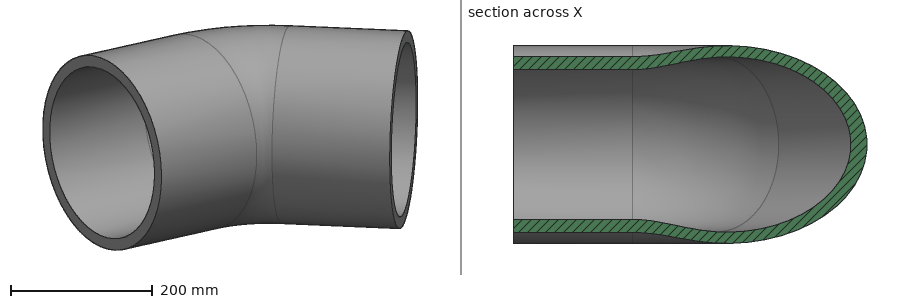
import cadquery as cq
import math

outer_diameter = 280.0
bore_diameter = 246.8
bend_angle = 45.0
leg_length = 168.0
centre_to_end = 238.0

bend_radius = (centre_to_end - leg_length) / math.tan(math.radians(bend_angle / 2))


def elbow_solid(diameter):
    """Solid elbow: straight leg along +Y, bend toward +X, straight leg."""
    radius = diameter / 2
    inlet = cq.Workplane("XZ").circle(radius).extrude(-leg_length)

    bend = (
        cq.Workplane("XZ", origin=(0, leg_length, 0))
        .circle(radius)
        .revolve(bend_angle, (bend_radius, 1, 0), (bend_radius, 0, 0))
    )

    bend_centre = (bend_radius, leg_length, 0)
    above_bend_centre = (bend_radius, leg_length, 1)
    outlet = (
        cq.Workplane("XZ", origin=(0, leg_length, 0))
        .circle(radius)
        .extrude(-leg_length)
        .rotate(bend_centre, above_bend_centre, -bend_angle)
    )
    return inlet.union(bend).union(outlet)


result = elbow_solid(outer_diameter).cut(elbow_solid(bore_diameter))